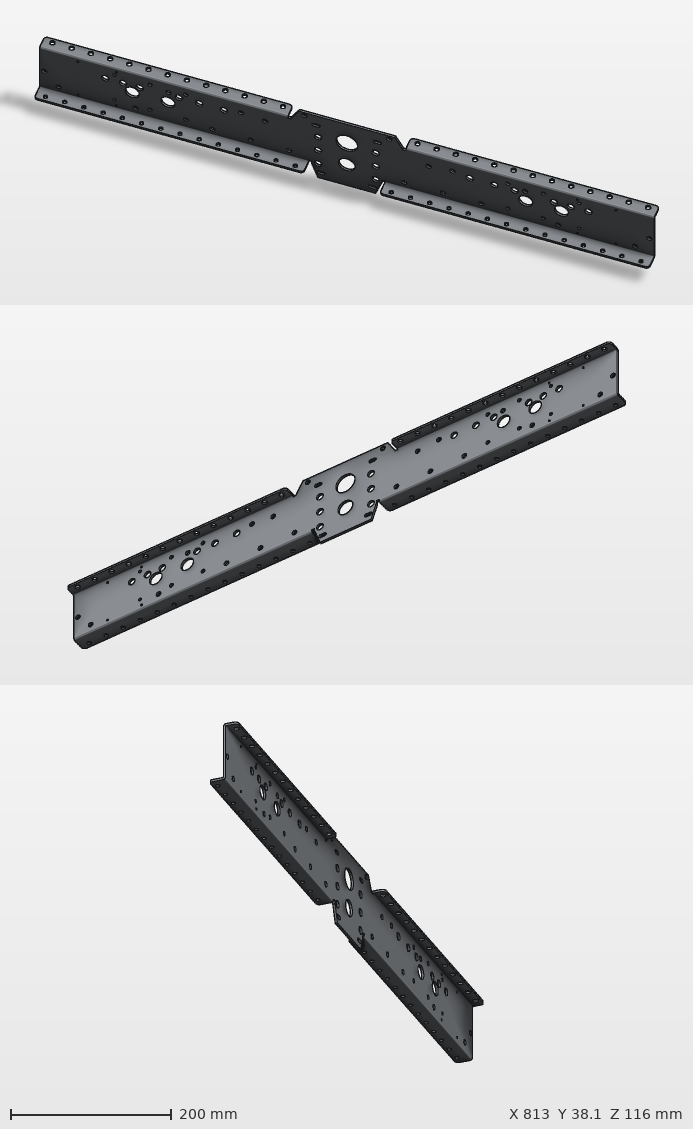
import cadquery as cq

length = 813.0
height = 116.0
pitch = length / 32
depth = 1.5 * pitch

sheet = pitch / 8
inner_bend = pitch / 32
outer_bend = inner_bend + sheet
back_y = depth / 2
front_y = -depth / 2
web_front_y = 0.0
web_back_y = web_front_y + sheet
rail_top = 43.0
rail_bottom = -35.0
flange_corner = 5.0

upper_flange_start = 78.0
lower_flange_start = 50.0

plate_top_half = 63.0
plate_shoulder_half = 74.0
plate_waist_half = 46.0
plate_bottom_half = 38.0

tiny = 2.5
outer_motor_screw = 4.0
inner_motor_screw = 5.4
flange_screw = 5.4
screw = 6.75
post = 10.0
motor_bore = 19.0
lower_bore = 22.0
upper_bore = 28.5

motor_square = 47.0
motor_x = 236.5
motor_z = 6.0

outer_post_z = 19.0
inner_post_z = 20.0
lower_row_z = -7 / 8 * pitch

plate_post_z = (19.0, -6.5, -32.0)
plate_top_screw = (56.0, 52.0)
upper_bore_z = 22.0
lower_bore_z = -19.0

slot_length = 10.5
slot_width = 5.0
upper_slot = (41.0, 40.0)
lower_slot = (34.0, -48.0)


def both_sides(points):
    """The points together with mirror images, across the middle of the rail, of those off centre."""
    return points + [(-x, z) for x, z in points if x > 0]


def web_cutters(points, diameter):
    """Cylinders along Y through the web at (x, z) points, on both sides of the middle."""
    plane = cq.Workplane("XZ", origin=(0, back_y, 0))
    return plane.pushPoints(both_sides(points)).circle(diameter / 2).extrude(depth)


def web_sheet():
    """Flat web of the rail joined with the middle plate."""
    upper_bend_z = rail_top - outer_bend
    lower_bend_z = rail_bottom + outer_bend
    right_side = [
        (plate_bottom_half, -height / 2),
        (plate_waist_half, rail_bottom),
        (plate_waist_half, lower_bend_z),
        (length / 2, lower_bend_z),
        (length / 2, upper_bend_z),
        (plate_shoulder_half, upper_bend_z),
        (plate_shoulder_half, rail_top - sheet),
        (plate_top_half, height / 2),
    ]
    left_side = [(-x, z) for x, z in reversed(right_side)]
    plane = cq.Workplane("XZ", origin=(0, web_back_y, 0))
    return plane.polyline(right_side + left_side).close().extrude(sheet)


def upper_flange():
    """Right-hand upper flange with its bend, drawn as a section and extruded along X."""
    bend_y = web_front_y + outer_bend
    bend_z = rail_top - outer_bend
    section = (
        cq.Workplane("YZ", origin=(upper_flange_start, 0, 0))
        .moveTo(web_front_y, bend_z)
        .radiusArc((bend_y, rail_top), outer_bend)
        .lineTo(back_y, rail_top)
        .lineTo(back_y, rail_top - sheet)
        .lineTo(bend_y, rail_top - sheet)
        .radiusArc((web_back_y, bend_z), -inner_bend)
        .close()
    )
    return section.extrude(length / 2 - upper_flange_start).edges("|Z and >Y").fillet(flange_corner)


def lower_flange():
    """Right-hand lower flange with its bend, drawn as a section and extruded along X."""
    bend_y = web_back_y - outer_bend
    bend_z = rail_bottom + outer_bend
    section = (
        cq.Workplane("YZ", origin=(lower_flange_start, 0, 0))
        .moveTo(web_back_y, bend_z)
        .radiusArc((bend_y, rail_bottom), outer_bend)
        .lineTo(front_y, rail_bottom)
        .lineTo(front_y, rail_bottom + sheet)
        .lineTo(bend_y, rail_bottom + sheet)
        .radiusArc((web_front_y, bend_z), -inner_bend)
        .close()
    )
    return section.extrude(length / 2 - lower_flange_start).edges("|Z and <Y").fillet(flange_corner)


def flange_cutters(first, last, y, z, diameter):
    """Row of vertical holes on both flanges, one per pitch between two pitch positions."""
    count = round(last - first) + 1
    row = [((first + i) * pitch, y) for i in range(count)]
    plane = cq.Workplane("XY", origin=(0, 0, z - sheet))
    return plane.pushPoints(both_sides(row)).circle(diameter / 2).extrude(3 * sheet)


result = web_sheet()
for flange in (upper_flange(), lower_flange()):
    result = result.union(flange).union(flange.mirror("YZ"))

flange_row_y = pitch / 2
last_hole = 15.5
result = result.cut(flange_cutters(3.5, last_hole, flange_row_y, rail_top - sheet, screw))
result = result.cut(flange_cutters(2.5, last_hole, -flange_row_y, rail_bottom, flange_screw))

half_square = motor_square / 2
motor_columns = (
    (motor_x - half_square, inner_motor_screw),
    (motor_x + half_square, inner_motor_screw),
    (motor_x + motor_square + half_square, outer_motor_screw),
)
for column_x, diameter in motor_columns:
    column = [(column_x, motor_z - half_square), (column_x, motor_z + half_square)]
    result = result.cut(web_cutters(column, diameter))
motor_bores = [(motor_x, motor_z), (motor_x + motor_square, motor_z)]
result = result.cut(web_cutters(motor_bores, motor_bore))

outer_posts = [(x, outer_post_z) for x in (319.5, 296.0, 274.0)]
inner_posts = [(x, inner_post_z) for x in (222.0, 195.0, 162.5)]
result = result.cut(web_cutters(outer_posts + inner_posts, post))
upper_screws = [(236.0, 24.0), (140.0, 24.0), (108.0, 21.0)]
lower_screws = [(k * pitch, lower_row_z) for k in (3, 5, 7, 11, 15)]
end_screw = [(length / 2 - pitch / 4, 0)]
result = result.cut(web_cutters(upper_screws + lower_screws + end_screw, screw))
locating_holes = [(k * pitch, z) for k in (12, 14) for z in (36.0, -28.0)]
result = result.cut(web_cutters(locating_holes, tiny))

plate_posts = [(1.5 * pitch, z) for z in plate_post_z]
result = result.cut(web_cutters(plate_posts, post))
result = result.cut(web_cutters([plate_top_screw], screw))
result = result.cut(web_cutters([(0, upper_bore_z)], upper_bore))
result = result.cut(web_cutters([(0, lower_bore_z)], lower_bore))
slots = (
    cq.Workplane("XZ", origin=(0, back_y, 0))
    .pushPoints(both_sides([upper_slot, lower_slot]))
    .slot2D(slot_length, slot_width)
    .extrude(depth)
)
result = result.cut(slots)